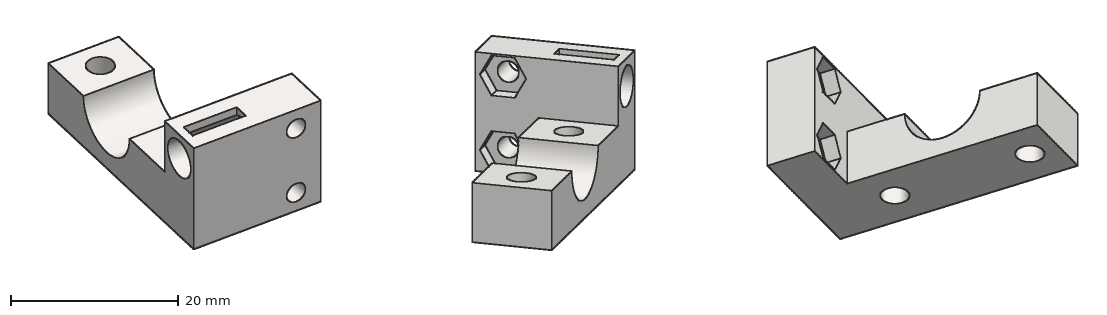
import cadquery as cq

length = 32.5
depth = 18.0
height = 15.0

base_depth = 10.0
base_height = 7.5
tower_width = 6.5
tower_left = length - tower_width

saddle_x = tower_left / 2
saddle_radius = 5.15
clamp_hole_diameter = 3.5
clamp_hole_offset = 9.23

bore_x = length - tower_width / 2
bore_z = 11.5
bore_diameter = 5.15
bore_depth = 10.0
slot_width = 2.0
slot_start = 1.27
slot_length = 7.5

screw_y = 14.5
screw_heights = (2.73, 12.25)
screw_diameter = 2.65
nut_across_corners = 5.82
nut_depth = 2.0


def make_body():
    base = cq.Workplane("XY").box(length, base_depth, base_height, centered=False)
    tower = cq.Workplane("XY").box(tower_width, depth, height, centered=False)
    return base.union(tower.translate((tower_left, 0, 0)))


def make_saddle():
    section = cq.Workplane("XZ").center(saddle_x, base_height).circle(saddle_radius)
    return section.extrude(-base_depth)


def make_clamp_holes():
    centres = [(saddle_x + side * clamp_hole_offset, base_depth / 2) for side in (-1, 1)]
    return cq.Workplane("XY").pushPoints(centres).circle(clamp_hole_diameter / 2).extrude(base_height)


def make_bore():
    return cq.Workplane("XZ").center(bore_x, bore_z).circle(bore_diameter / 2).extrude(-bore_depth)


def make_slot():
    slot = cq.Workplane("XY").box(slot_width, slot_length, height - bore_z, centered=False)
    return slot.translate((bore_x - slot_width / 2, slot_start, bore_z))


def make_cross_screws():
    centres = [(screw_y, z) for z in screw_heights]
    plane = cq.Workplane("YZ", origin=(tower_left, 0, 0)).pushPoints(centres)
    holes = plane.circle(screw_diameter / 2).extrude(tower_width)
    pockets = plane.polygon(6, nut_across_corners).extrude(nut_depth)
    return holes.union(pockets)


result = (
    make_body()
    .cut(make_saddle())
    .cut(make_clamp_holes())
    .cut(make_bore())
    .cut(make_slot())
    .cut(make_cross_screws())
)